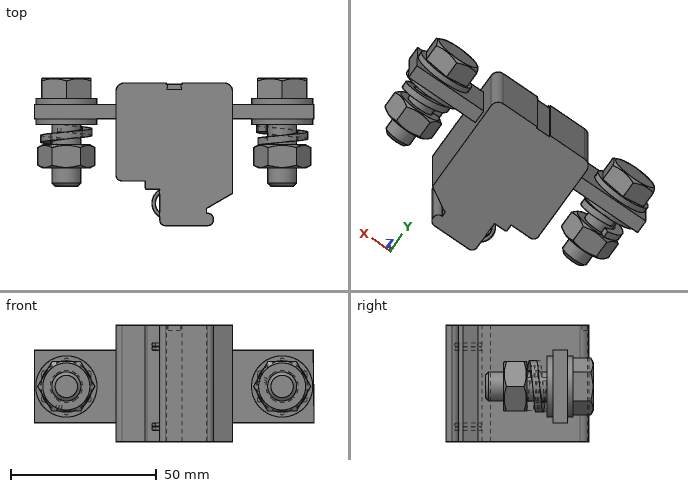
import cadquery as cq
import math


body_width = 40.0
body_height = 40.0
half_width = body_width / 2
back_y = 9.9
lower_left_y = -23.8
step_y = -26.7
step_x = -10.0
foot_left_x = -5.0
foot_right_x = 13.4
foot_bottom_y = -39.2
foot_top_y = -34.8
neck_x = 11.1
slope_angle = 30
slope_low_y = -33.2
slope_high_y = slope_low_y + (half_width - neck_x) * math.tan(math.radians(slope_angle))
back_radius = 3.0
corner_radius = 2.0
step_radius = 0.6

groove_width = 5.4
groove_depth = 0.5
recess_neck_width = 4.4
recess_floor_width = 5.1
recess_depth = 2.3
recess_height = 1.9

bar_thickness = 5.0
bar_height = 25.0
bar_left_x = -48
bar_length = 96
bar_end_lean = 0.3
bar_z = -1.1

bolt_spacing = 74.0
bolt_diameter = 10.0
bolt_tip_y = -25.6
bolt_tip_chamfer = 1.2
washer_diameter = 21.0
washer_thickness = 2.0
washer_face = bar_thickness / 2 + washer_thickness
hex_across_flats = 17.0
hex_face_diameter = 16.1
hex_chamfer_angle = 30
head_height = 7.0
nut_top_y = -11.3
nut_height = 8.1

spring_outer_diameter = 17.7
spring_inner_diameter = 11.0
spring_thickness = 2.4
spring_overlap = 0.1
spring_start_angles = {-1: 250, 1: 160}

wire_diameter = 1.2
clip_outer_radius = 5.4
clip_center_x = -2.3
clip_center_y = -31.5
clip_wire_pitch = 1.3
clip_heights = (12.6, -14.9)


def cylinder_y(x, y_low, y_high, diameter):
    """Cylinder along Y on a bolt axis."""
    disc = cq.Workplane("XZ", origin=(x, y_low, bar_z)).circle(diameter / 2)
    return disc.extrude(y_low - y_high)


def make_housing():
    outline = (
        cq.Workplane("XY", origin=(0, 0, -body_height / 2))
        .moveTo(-half_width, back_y)
        .lineTo(-half_width, lower_left_y)
        .lineTo(step_x, lower_left_y)
        .lineTo(step_x, step_y)
        .lineTo(foot_left_x, step_y)
        .lineTo(foot_left_x, foot_bottom_y)
        .lineTo(foot_right_x, foot_bottom_y)
        .lineTo(foot_right_x, foot_top_y)
        .lineTo(neck_x, foot_top_y)
        .lineTo(neck_x, slope_low_y)
        .lineTo(half_width, slope_high_y)
        .lineTo(half_width, back_y)
        .close()
    )
    housing = outline.extrude(body_height)

    rounded_corners = (
        (back_radius, ((-half_width, back_y), (half_width, back_y))),
        (
            corner_radius,
            (
                (-half_width, lower_left_y),
                (foot_left_x, foot_bottom_y),
                (foot_right_x, foot_bottom_y),
                (foot_right_x, foot_top_y),
            ),
        ),
        (step_radius, ((step_x, step_y),)),
    )
    for radius, corners in rounded_corners:
        for x, y in corners:
            housing = housing.edges(cq.selectors.NearestToPointSelector((x, y, 0))).fillet(radius)
    return housing


def make_back_recess():
    """Shallow groove along the back, with a dovetail pocket at its upper end."""
    groove_floor_y = back_y - groove_depth
    groove = cq.Workplane("XY").box(groove_width, 2 * groove_depth, body_height)
    groove = groove.translate((0, back_y, 0))
    dovetail = (
        cq.Workplane("XY", origin=(0, 0, body_height / 2))
        .moveTo(-recess_neck_width / 2, groove_floor_y)
        .lineTo(recess_neck_width / 2, groove_floor_y)
        .lineTo(recess_floor_width / 2, back_y - recess_depth)
        .lineTo(-recess_floor_width / 2, back_y - recess_depth)
        .close()
        .extrude(-recess_height)
    )
    return groove.union(dovetail)


def make_bar():
    low_z = bar_z - bar_height / 2
    high_z = bar_z + bar_height / 2
    right_x = bar_left_x + bar_length
    return (
        cq.Workplane("XZ")
        .moveTo(bar_left_x, low_z)
        .lineTo(right_x, low_z)
        .lineTo(right_x - bar_end_lean, high_z)
        .lineTo(bar_left_x, high_z)
        .close()
        .extrude(bar_thickness / 2, both=True)
    )


def make_hexagon(x, y_low, y_high, first_corner_angle, chamfer_low):
    """Hexagonal prism along Y, its corners chamfered at the +Y end and optionally at the -Y end."""
    hex_corner_reach = hex_across_flats / math.sqrt(3)
    corners = []
    for index in range(6):
        angle = math.radians(first_corner_angle + 60 * index)
        corners.append((hex_corner_reach * math.cos(angle), hex_corner_reach * math.sin(angle)))
    outline = cq.Workplane("XZ", origin=(x, y_low, bar_z)).polyline(corners).close()
    prism = outline.extrude(y_low - y_high)

    face_radius = hex_face_diameter / 2
    chamfer_width = hex_corner_reach - face_radius
    chamfer_height = chamfer_width * math.tan(math.radians(hex_chamfer_angle))
    blank = cylinder_y(x, y_low, y_high, 2 * hex_corner_reach)
    blank = blank.faces(">Y").chamfer(chamfer_height, chamfer_width)
    if chamfer_low:
        blank = blank.faces("<Y").chamfer(chamfer_height, chamfer_width)
    return prism.intersect(blank)


def make_spring_washer(x, start_angle):
    """Rectangular section swept one turn along a helix running from the washer to the nut."""
    inner_radius = spring_inner_diameter / 2
    outer_radius = spring_outer_diameter / 2
    middle_radius = (inner_radius + outer_radius) / 2
    gap = -washer_face - nut_top_y
    pitch = gap - spring_thickness + 2 * spring_overlap
    start_height = spring_thickness / 2 - spring_overlap
    path = cq.Workplane(obj=cq.Wire.makeHelix(pitch, pitch, middle_radius))
    section = cq.Workplane("XZ").center(middle_radius, 0)
    section = section.rect(outer_radius - inner_radius, spring_thickness)
    coil = section.sweep(path, isFrenet=True)
    return (
        coil.translate((0, 0, start_height))
        .rotate((0, 0, 0), (1, 0, 0), 90)
        .rotate((0, 0, 0), (0, 1, 0), -start_angle)
        .translate((x, -washer_face, bar_z))
    )


def make_joint(side):
    x = side * bolt_spacing / 2
    shank = cylinder_y(x, bolt_tip_y, washer_face, bolt_diameter)
    shank = shank.faces("<Y").chamfer(bolt_tip_chamfer)
    washers = cylinder_y(x, -washer_face, washer_face, washer_diameter)
    head = make_hexagon(x, washer_face, washer_face + head_height, 90, chamfer_low=False)
    nut = make_hexagon(x, nut_top_y - nut_height, nut_top_y, 0, chamfer_low=True)
    spring = make_spring_washer(x, spring_start_angles[side])
    return shank.union(washers).union(head).union(nut).union(spring)


def make_clip_ring(z):
    """Wire ring sunk in the foot, with only an arc standing out on the left side."""
    mean_radius = clip_outer_radius - wire_diameter / 2
    center = cq.Vector(clip_center_x, clip_center_y, z)
    return cq.Workplane(obj=cq.Solid.makeTorus(mean_radius, wire_diameter / 2, center, cq.Vector(0, 0, 1)))


result = make_housing().cut(make_back_recess()).union(make_bar())
for joint_side in (-1, 1):
    result = result.union(make_joint(joint_side))
for clip_height in clip_heights:
    for wire_offset in (-clip_wire_pitch / 2, clip_wire_pitch / 2):
        result = result.union(make_clip_ring(clip_height + wire_offset))